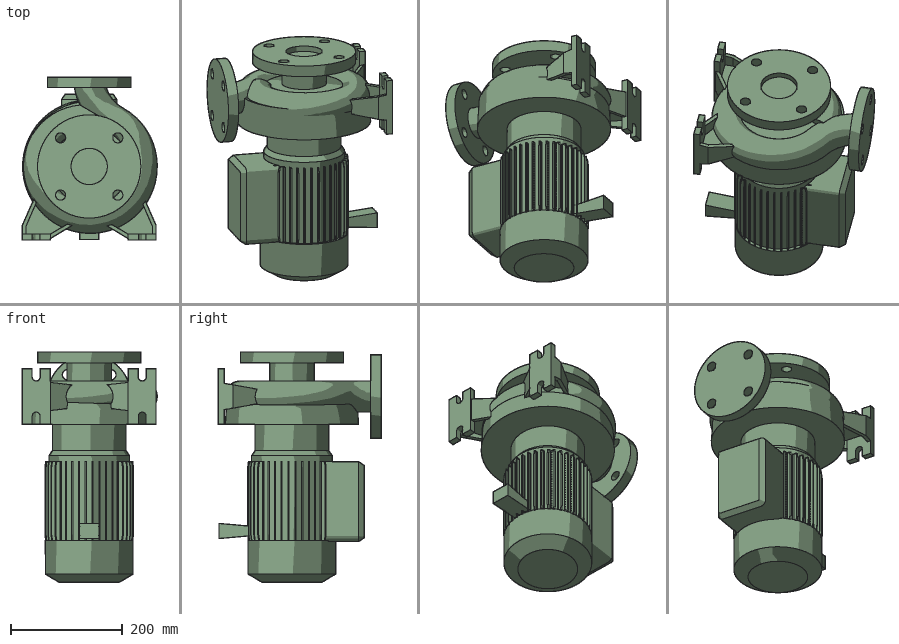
import cadquery as cq
import math


INLET_TOP_Z = 80.0
INLET_FLANGE_DIA = 185.0
INLET_FLANGE_THICKNESS = 20.0
INLET_BOLT_CIRCLE_DIA = 145.0
INLET_BORE_DIA = 65.0
INLET_BORE_DEPTH = 10.0
NECK_DIA = 80.0

OUTLET_FACE_Y = 160.0
OUTLET_FLANGE_DIA = 150.0
OUTLET_FLANGE_THICKNESS = 19.0
OUTLET_BOLT_CIRCLE_DIA = 110.0

BOLT_HOLE_DIA = 18.0
BOLT_COUNT = 4
FIRST_BOLT_ANGLE = 45.0

TUBE_RADIUS = 28.0
VOLUTE_RADIUS = 92.0
VOLUTE_CENTRE_X = 2.0
TAIL_RADIUS = 83.0
TAIL_END_ANGLE = 70.0

CASING_BOTTOM_Z = -50.0
CASING_TOP_Z = 6.0
CASING_BOTTOM_RADIUS = 119.4
CASING_TOP_RADIUS = 116.4
COVER_RADIUS = 85.0
COVER_EDGE_Z = 15.0
COVER_NECK_Z = 20.5

LANTERN_RADIUS = 66.2
LANTERN_BOTTOM_Z = -97.0
MOTOR_RADIUS = 72.5
SHOULDER_Z = -106.0
FIN_TOP_Z = -116.5
FIN_BOTTOM_Z = -257.5
FIN_RADIUS = 79.5
FIN_END_RADIUS = 78.3
FIN_TAPER_LENGTH = 10.0
FIN_BLANK_RADIUS = FIN_RADIUS + 2.0
FIN_THICKNESS = 2.0
FIN_COUNT = 40
FINS_PER_HALF_SIDE = FIN_COUNT // 8
FAN_COVER_RADIUS = 78.8
FAN_COVER_EDGE_Z = -318.0
MOTOR_BOTTOM_Z = -333.0
MOTOR_BOTTOM_RADIUS = 53.5

BOX_WIDTH = 100.0
BOX_OUTER_Y = 129.5
BOX_INNER_Y = 40.0
BOX_TOP_Z = FIN_TOP_Z
BOX_BOTTOM_Z = -260.0
BOX_CORNER_RADIUS = 10.0
BOX_BEVEL_DEPTH = 10.0
BOX_BEVEL_INSET = 7.0

SUPPORT_WIDTH = 34.5
SUPPORT_Z = -240.8
SUPPORT_OUTER_Y = -131.0
SUPPORT_OUTER_HEIGHT = 27.6
SUPPORT_INNER_Y = -60.0
SUPPORT_INNER_HEIGHT = 15.0

FOOT_FACE_Y = -132.0
FOOT_THICKNESS = 11.0
FOOT_OUTER_X = 120.0
FOOT_INNER_X = 69.5
FOOT_HALF_HEIGHT = 50.0
FOOT_SLOT_X = 95.0
FOOT_SLOT_WIDTH = 14.0
FOOT_SLOT_DEPTH = 22.0

RIB_THICKNESS = 7.0
RIB_BEND_Y = -105.6
RIB_BEND_STEP = 1.0
RIB_ROOT_Y = -40.0
SIDE_RIB_ROOT_X = 91.0
FRONT_RIB_START_Y = -129.3
FRONT_RIB_ROOT = (15.0, -96.0)
RIB_ROOT_HALF_HEIGHT = 9.3
RIB_FOOT_HALF_HEIGHT = 25.6
WEB_TOP_Z = 1.0
WEB_BOTTOM_Z = -6.0


def revolved(profile):
    """Revolve a closed (radius, z) profile about the shaft axis."""
    return cq.Workplane("XZ").polyline(profile).close().revolve(360, (0, 0, 0), (0, 1, 0))


def disc(radius, bottom_z, top_z):
    return cq.Workplane("XY").workplane(offset=bottom_z).circle(radius).extrude(top_z - bottom_z)


def plan_prism(outline, bottom_z, top_z):
    """Upright prism from an (x, y) outline."""
    base = cq.Workplane("XY").workplane(offset=bottom_z)
    return base.polyline(outline).close().extrude(top_z - bottom_z)


def inlet():
    flange_bottom_z = INLET_TOP_Z - INLET_FLANGE_THICKNESS
    flange = (
        disc(INLET_FLANGE_DIA / 2, flange_bottom_z, INLET_TOP_Z)
        .faces(">Z").workplane()
        .polarArray(INLET_BOLT_CIRCLE_DIA / 2, FIRST_BOLT_ANGLE, 360, BOLT_COUNT)
        .hole(BOLT_HOLE_DIA)
    )
    recess = disc(INLET_BORE_DIA / 2, INLET_TOP_Z - INLET_BORE_DEPTH, INLET_TOP_Z)
    neck = disc(NECK_DIA / 2, 0, flange_bottom_z)
    return flange.cut(recess).union(neck)


def outlet_flange():
    return (
        cq.Workplane("XZ", origin=(0, OUTLET_FACE_Y, 0))
        .circle(OUTLET_FLANGE_DIA / 2)
        .extrude(OUTLET_FLANGE_THICKNESS)
        .faces(">Y").workplane(centerOption="CenterOfBoundBox")
        .polarArray(OUTLET_BOLT_CIRCLE_DIA / 2, FIRST_BOLT_ANGLE, 360, BOLT_COUNT)
        .hole(BOLT_HOLE_DIA)
    )


def arc_point(centre_x, radius, angle):
    turn = math.radians(angle)
    return (centre_x + radius * math.cos(turn), radius * math.sin(turn))


def round_tube(path):
    """Sweep the tube section along a path that starts on the -X axis, heading along Y."""
    start = path.val().startPoint()
    return cq.Workplane("XZ", origin=start.toTuple()).circle(TUBE_RADIUS).sweep(path)


def volute_tail():
    """Tighter arc that carries the tube inwards until it dives under the outlet bend."""
    centre_x = VOLUTE_CENTRE_X - VOLUTE_RADIUS + TAIL_RADIUS
    path = (
        cq.Workplane("XY")
        .moveTo(*arc_point(centre_x, TAIL_RADIUS, 180))
        .threePointArc(
            arc_point(centre_x, TAIL_RADIUS, (180 + TAIL_END_ANGLE) / 2),
            arc_point(centre_x, TAIL_RADIUS, TAIL_END_ANGLE),
        )
        .wire()
    )
    return round_tube(path)


def volute():
    """Tube around the casing, then bent back to meet the outlet flange squarely."""
    near_side = VOLUTE_RADIUS + VOLUTE_CENTRE_X
    centre_distance = (near_side**2 + OUTLET_FACE_Y**2) / (2 * near_side)
    exit_angle = math.degrees(math.asin(OUTLET_FACE_Y / centre_distance))
    path = (
        cq.Workplane("XY")
        .moveTo(*arc_point(VOLUTE_CENTRE_X, VOLUTE_RADIUS, 180))
        .threePointArc(
            arc_point(VOLUTE_CENTRE_X, VOLUTE_RADIUS, 270),
            arc_point(VOLUTE_CENTRE_X, VOLUTE_RADIUS, exit_angle),
        )
        .tangentArcPoint((0, OUTLET_FACE_Y), relative=False)
        .wire()
    )
    return round_tube(path)


def casing():
    return revolved([
        (0, CASING_BOTTOM_Z),
        (CASING_BOTTOM_RADIUS, CASING_BOTTOM_Z),
        (CASING_TOP_RADIUS, CASING_TOP_Z),
        (COVER_RADIUS, CASING_TOP_Z),
        (COVER_RADIUS, COVER_EDGE_Z),
        (NECK_DIA / 2, COVER_NECK_Z),
        (0, COVER_NECK_Z),
    ])


def motor_body():
    return revolved([
        (0, CASING_BOTTOM_Z),
        (LANTERN_RADIUS, CASING_BOTTOM_Z),
        (LANTERN_RADIUS, LANTERN_BOTTOM_Z),
        (MOTOR_RADIUS, SHOULDER_Z),
        (MOTOR_RADIUS, FIN_BOTTOM_Z),
        (FAN_COVER_RADIUS, FIN_BOTTOM_Z),
        (FAN_COVER_RADIUS, FAN_COVER_EDGE_Z),
        (MOTOR_BOTTOM_RADIUS, MOTOR_BOTTOM_Z),
        (0, MOTOR_BOTTOM_Z),
    ])


def cooling_fins():
    """Fins parallel to X and to Y, spaced so that their tips divide the circle evenly."""
    pitch_angle = math.radians(360 / FIN_COUNT)
    length = 2 * FIN_BLANK_RADIUS
    slabs = cq.Sketch()
    for index in range(FINS_PER_HALF_SIDE):
        offset = FIN_RADIUS * math.sin((index + 0.5) * pitch_angle)
        slabs = (
            slabs
            .push([(-offset, 0), (offset, 0)]).rect(FIN_THICKNESS, length)
            .push([(0, -offset), (0, offset)]).rect(length, FIN_THICKNESS)
        )
    blank = (
        cq.Workplane("XY", origin=(0, 0, FIN_BOTTOM_Z))
        .placeSketch(slabs)
        .extrude(FIN_TOP_Z - FIN_BOTTOM_Z)
    )
    envelope = revolved([
        (0, FIN_BOTTOM_Z),
        (FIN_END_RADIUS, FIN_BOTTOM_Z),
        (FIN_RADIUS, FIN_BOTTOM_Z + FIN_TAPER_LENGTH),
        (FIN_RADIUS, FIN_TOP_Z - FIN_TAPER_LENGTH),
        (FIN_END_RADIUS, FIN_TOP_Z),
        (0, FIN_TOP_Z),
    ])
    return blank.intersect(envelope)


def terminal_box():
    """Box with rounded long edges and a bevelled outer rim."""
    height = BOX_TOP_Z - BOX_BOTTOM_Z
    centre_z = (BOX_TOP_Z + BOX_BOTTOM_Z) / 2
    bevel_start_y = BOX_OUTER_Y - BOX_BEVEL_DEPTH
    bevel_angle = math.degrees(math.atan2(BOX_BEVEL_INSET, BOX_BEVEL_DEPTH))
    section = cq.Sketch().rect(BOX_WIDTH, height).vertices().fillet(BOX_CORNER_RADIUS)
    base = cq.Workplane("XZ", origin=(0, bevel_start_y, centre_z)).placeSketch(section)
    body = base.extrude(bevel_start_y - BOX_INNER_Y)
    rim = base.extrude(-BOX_BEVEL_DEPTH, taper=bevel_angle)
    return body.union(rim)


def motor_support():
    outline = [
        (SUPPORT_INNER_Y, SUPPORT_Z - SUPPORT_INNER_HEIGHT / 2),
        (SUPPORT_OUTER_Y, SUPPORT_Z - SUPPORT_OUTER_HEIGHT / 2),
        (SUPPORT_OUTER_Y, SUPPORT_Z + SUPPORT_OUTER_HEIGHT / 2),
        (SUPPORT_INNER_Y, SUPPORT_Z + SUPPORT_INNER_HEIGHT / 2),
    ]
    return cq.Workplane("YZ").polyline(outline).close().extrude(SUPPORT_WIDTH / 2, both=True)


def foot_plate():
    """Upright plate on the +X side with an open slot in its top and bottom edges."""
    width = FOOT_OUTER_X - FOOT_INNER_X
    height = 2 * FOOT_HALF_HEIGHT
    plate = (
        cq.Workplane("XY")
        .box(width, FOOT_THICKNESS, height, centered=(False, False, True))
        .translate((FOOT_INNER_X, FOOT_FACE_Y, 0))
    )
    slot_centres = [(FOOT_SLOT_X, FOOT_HALF_HEIGHT), (FOOT_SLOT_X, -FOOT_HALF_HEIGHT)]
    slots = (
        cq.Workplane("XZ", origin=(0, FOOT_FACE_Y, 0))
        .pushPoints(slot_centres)
        .slot2D(2 * FOOT_SLOT_DEPTH, FOOT_SLOT_WIDTH, 90)
        .extrude(-FOOT_THICKNESS)
    )
    return plate.cut(slots)


def foot_ribs():
    """Two walls and a web on the +X side, thinning in height towards the casing."""
    plate_back_y = FOOT_FACE_Y + FOOT_THICKNESS
    side_x = FOOT_OUTER_X
    rib_height = RIB_FOOT_HALF_HEIGHT
    root_x, root_y = FRONT_RIB_ROOT
    side_wall = [
        (side_x, plate_back_y),
        (side_x, RIB_BEND_Y),
        (SIDE_RIB_ROOT_X, RIB_ROOT_Y),
        (SIDE_RIB_ROOT_X - RIB_THICKNESS, RIB_ROOT_Y),
        (side_x - RIB_THICKNESS, RIB_BEND_Y - RIB_BEND_STEP),
        (side_x - RIB_THICKNESS, plate_back_y),
    ]
    front_wall = [
        (FOOT_INNER_X, FRONT_RIB_START_Y),
        (root_x, root_y),
        (root_x, root_y + RIB_THICKNESS),
        (FOOT_INNER_X, plate_back_y),
    ]
    web = [
        (side_x - RIB_THICKNESS, plate_back_y),
        (side_x - RIB_THICKNESS, RIB_BEND_Y),
        (SIDE_RIB_ROOT_X - RIB_THICKNESS, RIB_ROOT_Y),
        (root_x, root_y),
        (FOOT_INNER_X, plate_back_y),
    ]
    ribs = (
        plan_prism(side_wall, -rib_height, rib_height)
        .union(plan_prism(front_wall, -rib_height, rib_height))
        .union(plan_prism(web, WEB_BOTTOM_Z, WEB_TOP_Z))
    )
    taper = (
        cq.Workplane("YZ")
        .polyline([
            (FOOT_FACE_Y, -rib_height),
            (RIB_ROOT_Y, -RIB_ROOT_HALF_HEIGHT),
            (RIB_ROOT_Y, RIB_ROOT_HALF_HEIGHT),
            (FOOT_FACE_Y, rib_height),
        ])
        .close()
        .extrude(FOOT_OUTER_X)
    )
    return ribs.intersect(taper)


right_foot = foot_plate().union(foot_ribs())
left_foot = right_foot.mirror("YZ")

pump = casing().union(volute()).union(volute_tail()).union(inlet()).union(outlet_flange())
pump = pump.union(right_foot).union(left_foot)

motor = motor_body().union(cooling_fins()).union(terminal_box()).union(motor_support())

result = pump.union(motor)